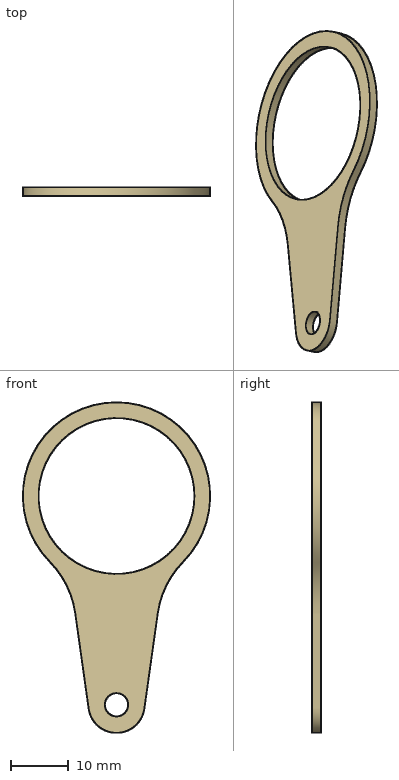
import cadquery as cq
import math

thickness = 1.59
overall_height = 57.39
ring_outer_radius = 32.54 / 2
ring_bore_diameter = 27.0
tip_radius = 4.9
tip_hole_diameter = 4.0
flank_angle = math.radians(8.0)
fillet_radius = 15.875

tip_center_z = -(overall_height - ring_outer_radius - tip_radius)

normal_x = math.cos(flank_angle)
normal_z = -math.sin(flank_angle)

fillet_to_ring = ring_outer_radius + fillet_radius
flank_offset = tip_radius + normal_z * tip_center_z
fillet_normal_offset = flank_offset + fillet_radius
fillet_along_flank = math.sqrt(fillet_to_ring**2 - fillet_normal_offset**2)
fillet_x = fillet_normal_offset * normal_x + fillet_along_flank * normal_z
fillet_z = fillet_normal_offset * normal_z - fillet_along_flank * normal_x


def point_toward(start, target, distance):
    """Point at the given distance from start in the direction of target."""
    dx = target[0] - start[0]
    dz = target[1] - start[1]
    length = math.hypot(dx, dz)
    return (start[0] + dx * distance / length, start[1] + dz * distance / length)


def mirrored(point):
    """Mirror image of a point across the handle's centre line."""
    return (-point[0], point[1])


def outline_plate():
    """Solid plate: ring disc, blended flanks and rounded tip."""
    fillet_center = (fillet_x, fillet_z)
    ring_tangent = point_toward((0, 0), fillet_center, ring_outer_radius)
    flank_top = (fillet_x - fillet_radius * normal_x, fillet_z - fillet_radius * normal_z)
    flank_bottom = (tip_radius * normal_x, tip_center_z + tip_radius * normal_z)
    chord_middle = (
        (ring_tangent[0] + flank_top[0]) / 2,
        (ring_tangent[1] + flank_top[1]) / 2,
    )
    fillet_mid = point_toward(fillet_center, chord_middle, fillet_radius)
    return (
        cq.Workplane("XZ")
        .moveTo(*mirrored(ring_tangent))
        .threePointArc((0, ring_outer_radius), ring_tangent)
        .threePointArc(fillet_mid, flank_top)
        .lineTo(*flank_bottom)
        .threePointArc((0, tip_center_z - tip_radius), mirrored(flank_bottom))
        .lineTo(*mirrored(flank_top))
        .threePointArc(mirrored(fillet_mid), mirrored(ring_tangent))
        .close()
        .extrude(thickness / 2, both=True)
    )


def through_hole(center_z, diameter):
    """Cutter through the plate along Y, on the centre line."""
    return (
        cq.Workplane("XZ", origin=(0, thickness, center_z))
        .circle(diameter / 2)
        .extrude(2 * thickness)
    )


ring_bore = through_hole(0, ring_bore_diameter)
tip_hole = through_hole(tip_center_z, tip_hole_diameter)
result = outline_plate().cut(ring_bore).cut(tip_hole)